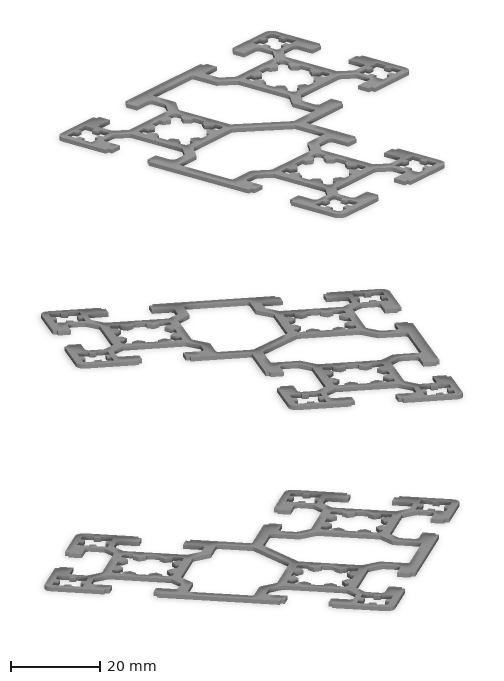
import cadquery as cq

cell = 40.0
half_cell = cell / 2
thickness = 1.0
outer_radius = 2.0

slot_mouth = 10.0
lip_depth = 4.0
mouth_notch = 1.0
slot_half_width = 10.0
slot_radius = 1.0
core_width = 18.0
core_half = core_width / 2
diagonal_offset = 1.8

hollow = 14.0
hollow_radius = 1.0
tooth_pitch = 6.0
tooth_width = 3.0
tooth_shoulder = 1.0
tooth_height = 2.0

corner_hollow = 7.0
corner_wall = 1.7
corner_hollow_radius = 0.6
nub_width = 1.6
nub_height = 1.0

cavity_wall = 2.6
cavity_half_width = 7.6
cavity_radius = 0.6

low = half_cell
high = cell + half_cell
slotted_sides = {
    (low, low): (180, 270),
    (low, high): (0, 90, 180),
    (high, low): (0, 90, 270),
}
rounded_corners = {
    (low, low): (180,),
    (low, high): (0, 90),
    (high, low): (270, 0),
}


def prism(points):
    return cq.Workplane("XY").polyline(points).close().extrude(thickness)


def place(shape, centre, angle):
    """Turn a shape modelled about the origin and move it to a cell centre."""
    return shape.rotate((0, 0, 0), (0, 0, 1), angle).translate((*centre, 0))


def edges_at(shape, points):
    """Select the upright edges of a shape that pass through the given points."""
    selector = None
    for x, y in points:
        near = cq.selectors.NearestToPointSelector((x, y, thickness / 2))
        selector = near if selector is None else selector + near
    return shape.edges("|Z").edges(selector)


def make_slot():
    """T-slot opening towards +X, for a cell centred on the origin."""
    mouth = slot_mouth / 2
    lip = half_cell - lip_depth
    notch_floor = half_cell - mouth_notch
    notch_side = mouth + mouth_notch
    shoulder = slot_half_width + diagonal_offset
    upper = [
        (core_half, core_half - diagonal_offset),
        (shoulder, slot_half_width),
        (lip, slot_half_width),
        (lip, mouth),
        (notch_floor, mouth),
        (notch_floor, notch_side),
        (half_cell, notch_side),
    ]
    lower = [(x, -y) for x, y in reversed(upper)]
    slot = prism(upper + lower)
    rounded = [(x, side * slot_half_width) for x in (shoulder, lip) for side in (1, -1)]
    return edges_at(slot, rounded).fillet(slot_radius)


def make_hollow():
    """Square hollow with two pointed teeth on each side."""
    body = cq.Workplane("XY").rect(hollow, hollow).extrude(thickness)
    body = body.edges("|Z").fillet(hollow_radius)
    root = hollow / 2
    for side in (1, -1):
        middle = side * tooth_pitch / 2
        tooth = prism([
            (root, middle - tooth_width / 2),
            (root - tooth_shoulder, middle - tooth_width / 2),
            (root - tooth_height, middle),
            (root - tooth_shoulder, middle + tooth_width / 2),
            (root, middle + tooth_width / 2),
        ])
        for angle in (0, 90, 180, 270):
            body = body.cut(place(tooth, (0, 0), angle))
    return body


def make_corner_hollow():
    """Square hollow with a nub on each side, in the +X +Y corner of a cell."""
    body = cq.Workplane("XY").rect(corner_hollow, corner_hollow).extrude(thickness)
    body = body.edges("|Z").edges(">(1, 1, 0)").fillet(corner_hollow_radius)
    nub = cq.Workplane("XY").center((corner_hollow - nub_height) / 2, 0)
    nub = nub.rect(nub_height, nub_width).extrude(thickness)
    for angle in (0, 90, 180, 270):
        body = body.cut(place(nub, (0, 0), angle))
    middle = half_cell - corner_wall - corner_hollow / 2
    return body.translate((middle, middle, 0))


def make_cavity(mirrored):
    """Cavity between the corner cell and the cell above it, or its mirror about y = x."""
    left = cavity_wall
    right = cell - cavity_wall
    bottom = cell - cavity_half_width
    top = cell + cavity_half_width
    core_top = low + core_half
    core_bottom = high - core_half
    core_reach = core_half - diagonal_offset
    slope_run = core_bottom - top
    outline = [
        (left, bottom),
        (low - core_reach - slope_run, bottom),
        (low - core_reach, core_top),
        (core_top - diagonal_offset, core_top),
        (right, right + diagonal_offset),
        (right, top),
        (low + core_reach + slope_run, top),
        (low + core_reach, core_bottom),
        (low - core_reach, core_bottom),
        (low - core_reach - slope_run, top),
        (left, top),
    ]
    rounded = [(left, bottom), (left, top), (right, top)]
    if mirrored:
        outline = [(y, x) for x, y in outline]
        rounded = [(y, x) for x, y in rounded]
    return edges_at(prism(outline), rounded).fillet(cavity_radius)


def make_blank():
    """L-shaped plate with its five outside corners rounded."""
    size = 2 * cell
    blank = prism([(0, 0), (size, 0), (size, cell), (cell, cell), (cell, size), (0, size)])
    outside = [(0, 0), (size, 0), (size, cell), (cell, size), (0, size)]
    return edges_at(blank, outside).fillet(outer_radius)


slot = make_slot()
hollow_core = make_hollow()
corner_core = make_corner_hollow()

result = make_blank()
for centre, angles in slotted_sides.items():
    result = result.cut(place(hollow_core, centre, 0))
    for angle in angles:
        result = result.cut(place(slot, centre, angle))
for centre, angles in rounded_corners.items():
    for angle in angles:
        result = result.cut(place(corner_core, centre, angle))
for mirrored in (False, True):
    result = result.cut(make_cavity(mirrored))